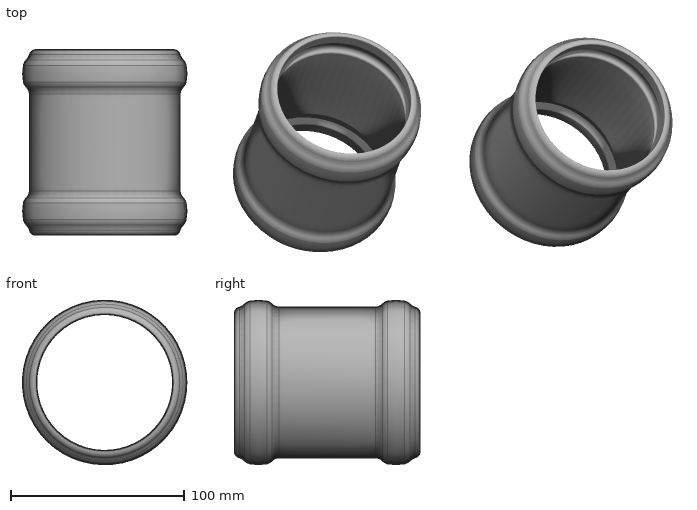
import cadquery as cq
import math


length = 107.0
tube_radius = 87.0 / 2
bore_radius = 78.7 / 2
half_length = length / 2

bead_radius = 94.8 / 2
bead_edge_radius = 46.9
bead_start_depth = 9.0
bead_end_depth = 18.7
rim_end_depth = 2.85
rim_radius = 3.6
front_blend_depth = 5.85
back_blend_depth = 21.55
blend_radius = 45.2
tube_start_depth = 25.6
convex_bulge = 0.23
front_concave_bulge = 0.18
back_concave_bulge = 0.44

lip_radius = 78.4 / 2
lip_mouth_fillet = 0.6
lip_groove_fillet = 0.6
groove_radius = 87.6 / 2
groove_start_depth = 7.9
groove_end_depth = 18.6
groove_corner_fillet = 1.4
bore_edge_fillet = 1.1


def at(radius, depth):
    """Half-section point at a given radius and depth from the -Y end."""
    return (radius, depth - half_length)


def bulged_arc(profile, start, end, bulge):
    """Add an arc whose middle stands off its chord, positive to the right of travel."""
    run_radius = end[0] - start[0]
    run_axis = end[1] - start[1]
    chord = math.hypot(run_radius, run_axis)
    middle = (
        (start[0] + end[0]) / 2 + bulge * run_axis / chord,
        (start[1] + end[1]) / 2 - bulge * run_radius / chord,
    )
    return profile.threePointArc(middle, end)


def quarter_arc(profile, start, end, center):
    """Add the circular arc from start to end, a quarter turn about center."""
    radius = math.dist(start, center)
    offset = (start[0] + end[0] - 2 * center[0], start[1] + end[1] - 2 * center[1])
    scale = radius / math.hypot(*offset)
    middle = (center[0] + offset[0] * scale, center[1] + offset[1] * scale)
    return profile.threePointArc(middle, end)


def add_outside(profile, mouth_edge):
    """Add the rim, bead and blends, from the mouth to the plain tube."""
    front_blend = at(blend_radius, front_blend_depth)
    bead_start = at(bead_edge_radius, bead_start_depth)
    bead_end = at(bead_edge_radius, bead_end_depth)
    back_blend = at(blend_radius, back_blend_depth)
    tube_start = at(tube_radius, tube_start_depth)

    rim_center_radius = lip_radius + lip_mouth_fillet
    rim_angle = math.acos((rim_radius - rim_end_depth) / rim_radius)
    rim_middle = at(
        rim_center_radius + rim_radius * math.sin(rim_angle / 2),
        rim_radius - rim_radius * math.cos(rim_angle / 2),
    )
    rim_end = at(rim_center_radius + rim_radius * math.sin(rim_angle), rim_end_depth)
    profile = profile.moveTo(*mouth_edge).threePointArc(rim_middle, rim_end)
    profile = bulged_arc(profile, rim_end, front_blend, -front_concave_bulge)
    profile = bulged_arc(profile, front_blend, bead_start, convex_bulge)
    profile = bulged_arc(profile, bead_start, bead_end, bead_radius - bead_edge_radius)
    profile = bulged_arc(profile, bead_end, back_blend, convex_bulge)
    profile = bulged_arc(profile, back_blend, tube_start, -back_concave_bulge)
    return profile.lineTo(tube_radius, 0)


def add_inside(profile, mouth_edge):
    """Add the bore, seal groove and mouth lip, from mid-length back to the mouth."""
    bore_end = at(bore_radius, groove_end_depth + bore_edge_fillet)
    bore_edge_center = at(bore_radius + bore_edge_fillet, groove_end_depth + bore_edge_fillet)
    shoulder_inner = at(bore_radius + bore_edge_fillet, groove_end_depth)
    shoulder_outer = at(groove_radius - groove_corner_fillet, groove_end_depth)
    corner_center = at(groove_radius - groove_corner_fillet, groove_end_depth - groove_corner_fillet)
    groove_end = at(groove_radius, groove_end_depth - groove_corner_fillet)
    lip_shoulder = at(lip_radius + lip_groove_fillet, groove_start_depth)
    lip_groove_center = at(lip_radius + lip_groove_fillet, groove_start_depth - lip_groove_fillet)
    lip_start = at(lip_radius, groove_start_depth - lip_groove_fillet)
    lip_end = at(lip_radius, lip_mouth_fillet)
    lip_mouth_center = at(lip_radius + lip_mouth_fillet, lip_mouth_fillet)

    profile = profile.lineTo(bore_radius, 0).lineTo(*bore_end)
    profile = quarter_arc(profile, bore_end, shoulder_inner, bore_edge_center)
    profile = profile.lineTo(*shoulder_outer)
    profile = quarter_arc(profile, shoulder_outer, groove_end, corner_center)
    profile = profile.lineTo(*at(groove_radius, groove_start_depth))
    profile = profile.lineTo(*lip_shoulder)
    profile = quarter_arc(profile, lip_shoulder, lip_start, lip_groove_center)
    profile = profile.lineTo(*lip_end)
    return quarter_arc(profile, lip_end, mouth_edge, lip_mouth_center)


def make_half():
    """Revolve the half-section of the -Y socket about the Y axis."""
    mouth_edge = at(lip_radius + lip_mouth_fillet, 0)
    profile = add_outside(cq.Workplane("XY"), mouth_edge)
    profile = add_inside(profile, mouth_edge).close()
    return profile.revolve(360, (0, 0, 0), (0, 1, 0))


half = make_half()
result = half.union(half.mirror("XZ")).clean()